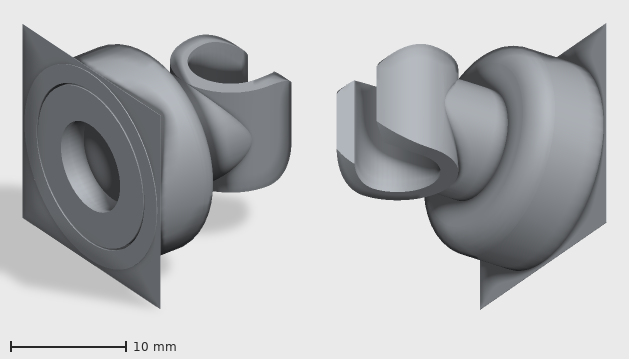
import cadquery as cq
import math

total_length = 19.62

cup_diameter = 18.78
cup_height = 7.2
cup_fillet = 2.0

plate_side = 19.55
plate_thickness = 0.04
plate_setback = 0.08

pocket_diameter = 15.35
pocket_depth = 2.5
magnet_diameter = 14.93
magnet_hole_diameter = 8.4

clip_outer_radius = 5.28
clip_inner_radius = 3.75
clip_height = 10.08
clip_axis_y = 15.35
mouth_angle = 60.0

neck_radius = clip_height / 2


def y_cylinder(diameter, y_start, y_end):
    """A cylinder on the Y axis, from y_start to y_end."""
    base = cq.Workplane("XZ", origin=(0, y_start, 0))
    return base.circle(diameter / 2).extrude(y_start - y_end)


def make_cup():
    cup = y_cylinder(cup_diameter, 0, cup_height).faces(">Y").edges().fillet(cup_fillet)
    plate = cq.Workplane("XY").box(plate_side, plate_thickness, plate_side, centered=(True, False, True))
    return cup.union(plate.translate((0, plate_setback, 0)))


def make_clip_blank():
    """The clip before boring: a disc whose open half is rounded to follow the neck's radius."""
    disc = cq.Workplane("XY", origin=(0, clip_axis_y, -clip_height / 2))
    disc = disc.circle(clip_outer_radius).extrude(clip_height)
    side = (
        cq.Workplane("YZ", origin=(-clip_outer_radius, 0, 0))
        .moveTo(0, -neck_radius)
        .lineTo(clip_axis_y, -neck_radius)
        .threePointArc((clip_axis_y + neck_radius, 0), (clip_axis_y, neck_radius))
        .lineTo(0, neck_radius)
        .close()
        .extrude(2 * clip_outer_radius)
    )
    return disc.intersect(side)


def make_mouth():
    """A wedge that opens the clip and leaves the tips of its arms at the full length."""
    tip_y = total_length
    tip_x = math.sqrt(clip_outer_radius**2 - (tip_y - clip_axis_y) ** 2)
    slope = math.tan(math.radians(mouth_angle / 2))
    wide_y = clip_axis_y + 2 * clip_outer_radius
    wide_x = tip_x + (wide_y - tip_y) * slope
    apex_y = tip_y - tip_x / slope
    wedge = cq.Workplane("XY", origin=(0, 0, -clip_height / 2))
    return wedge.polyline([(0, apex_y), (wide_x, wide_y), (-wide_x, wide_y)]).close().extrude(clip_height)


def make_housing():
    neck = y_cylinder(2 * neck_radius, 0, clip_axis_y)
    bore = cq.Workplane("XY", origin=(0, clip_axis_y, -clip_height / 2))
    bore = bore.circle(clip_inner_radius).extrude(clip_height)
    pocket = y_cylinder(pocket_diameter, 0, pocket_depth)
    housing = make_cup().union(neck).union(make_clip_blank())
    return housing.cut(bore).cut(make_mouth()).cut(pocket)


def make_magnet():
    ring = y_cylinder(magnet_diameter, 0, pocket_depth)
    return ring.cut(y_cylinder(magnet_hole_diameter, 0, pocket_depth))


housing = make_housing()
magnet = make_magnet()
result = cq.Compound.makeCompound([housing.val(), magnet.val()])